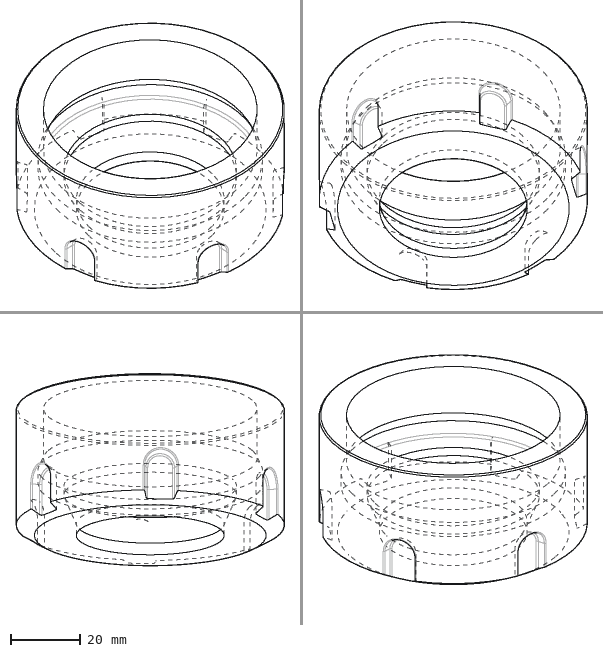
import cadquery as cq
import math

outer_radius = 77.7 / 2
height = 38.1
top_chamfer = 0.5
bottom_bevel_width = 5.3
bottom_bevel_angle = 30
bottom_bevel_height = bottom_bevel_width * math.tan(math.radians(bottom_bevel_angle))

main_bore_radius = 61.85 / 2
groove_radius = 65.0 / 2
seat_radius = 50.0 / 2
throat_radius = 42.8 / 2
groove_top = 23.0
groove_wall_top = 19.65
shoulder_height = 14.8
seat_cone_top = 12.1
throat_top = 3.5
shoulder_fillet = 0.8

slot_count = 6
slot_floor_radius = 35.7
slot_floor_half_width = 4.05
slot_arc_height = 10.6
slot_wall_draft = 15
slot_floor_fillet = 0.55
slot_rim_fillet = 0.4
slot_overrun = 7.8


def make_body():
    """Revolve the ring profile, from the throat up the outside and down the bore."""
    profile = (
        cq.Workplane("XZ")
        .moveTo(throat_radius, 0)
        .lineTo(outer_radius - bottom_bevel_width, 0)
        .lineTo(outer_radius, bottom_bevel_height)
        .lineTo(outer_radius, height - top_chamfer)
        .lineTo(outer_radius - top_chamfer, height)
        .lineTo(main_bore_radius, height)
        .lineTo(main_bore_radius, groove_top)
        .lineTo(groove_radius, groove_wall_top)
        .lineTo(groove_radius, shoulder_height + shoulder_fillet)
        .radiusArc((groove_radius - shoulder_fillet, shoulder_height), shoulder_fillet)
        .lineTo(seat_radius, shoulder_height)
        .lineTo(seat_radius, seat_cone_top)
        .lineTo(throat_radius, throat_top)
        .close()
    )
    return profile.revolve(360, (0, 0, 0), (0, 1, 0))


def make_slot_cutter():
    """Round-topped slot on the -Y side, widening outward from a flat floor."""
    depth = outer_radius + slot_overrun - slot_floor_radius
    length = slot_arc_height + 2 * slot_overrun
    return (
        cq.Workplane("XZ", origin=(0, -slot_floor_radius, slot_arc_height - length / 2))
        .slot2D(length + 2 * slot_floor_half_width, 2 * slot_floor_half_width, 90)
        .extrude(depth, taper=-slot_wall_draft)
        .faces(">Y")
        .edges()
        .fillet(slot_floor_fillet)
    )


def round_slot_rims(body):
    """Round the edges where the slot walls meet the outer cylinder."""
    tolerance = 0.01
    slot_top_limit = height / 2

    def is_slot_rim(edge):
        box = edge.BoundingBox()
        middle = edge.positionAt(0.5)
        on_cylinder = abs(math.hypot(middle.x, middle.y) - outer_radius) < tolerance
        above_bevel = middle.z > bottom_bevel_height + tolerance
        return on_cylinder and above_bevel and box.zmax < slot_top_limit

    rims = [edge for edge in body.edges().vals() if is_slot_rim(edge)]
    return body.newObject(rims).fillet(slot_rim_fillet)


result = make_body()
slot_cutter = make_slot_cutter()
for index in range(slot_count):
    angle = index * 360 / slot_count
    result = result.cut(slot_cutter.rotate((0, 0, 0), (0, 0, 1), angle))
result = round_slot_rims(result)